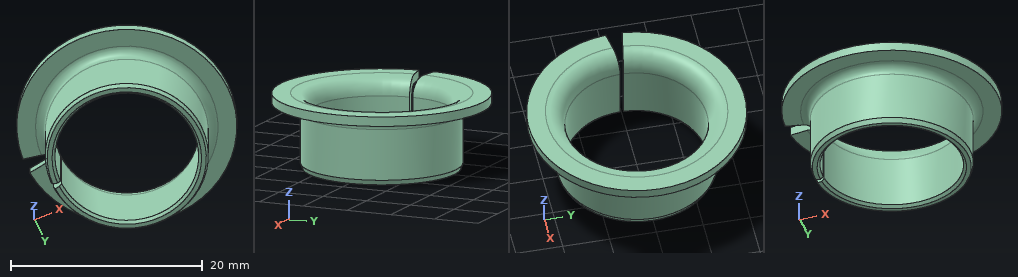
import cadquery as cq
import math

flange_radius = 11.5
height = 8.0
bore_radius = 7.5
wall = 1.0
outer_bend_radius = 1.0
outer_chamfer_height = 0.55
outer_chamfer_depth = 0.2
bore_chamfer = 0.3

split_half_angle = 10.0
split_apex_x = -6.53
split_clearance = 2.3

sleeve_radius = bore_radius + wall
inner_bend_radius = outer_bend_radius + wall
bend_center_r = sleeve_radius + outer_bend_radius
bend_center_z = height - inner_bend_radius
flange_bottom_z = height - wall


def bend_midpoint(radius):
    """Middle of the quarter arc that turns from the sleeve to the flange."""
    offset = radius * math.sqrt(0.5)
    return (bend_center_r - offset, bend_center_z + offset)


def flanged_sleeve():
    """Revolve the wall section about Z."""
    section = (
        cq.Workplane("XZ")
        .moveTo(bore_radius, bore_chamfer)
        .lineTo(bore_radius + bore_chamfer, 0)
        .lineTo(sleeve_radius - outer_chamfer_depth, 0)
        .lineTo(sleeve_radius, outer_chamfer_height)
        .lineTo(sleeve_radius, bend_center_z)
        .threePointArc(bend_midpoint(outer_bend_radius), (bend_center_r, flange_bottom_z))
        .lineTo(flange_radius, flange_bottom_z)
        .lineTo(flange_radius, height)
        .lineTo(bend_center_r, height)
        .threePointArc(bend_midpoint(inner_bend_radius), (bore_radius, bend_center_z))
        .close()
    )
    body = section.revolve(360, (0, 0, 0), (0, 1, 0))
    return body.rotate((0, 0, 0), (0, 0, 1), 180)


def split_wedge():
    """Full-height wedge that widens outward through the wall and flange."""
    outer_x = -(flange_radius + split_clearance)
    half_width = (split_apex_x - outer_x) * math.tan(math.radians(split_half_angle))
    corners = [(split_apex_x, 0), (outer_x, half_width), (outer_x, -half_width)]
    return cq.Workplane("XY").polyline(corners).close().extrude(height)


result = flanged_sleeve().cut(split_wedge())